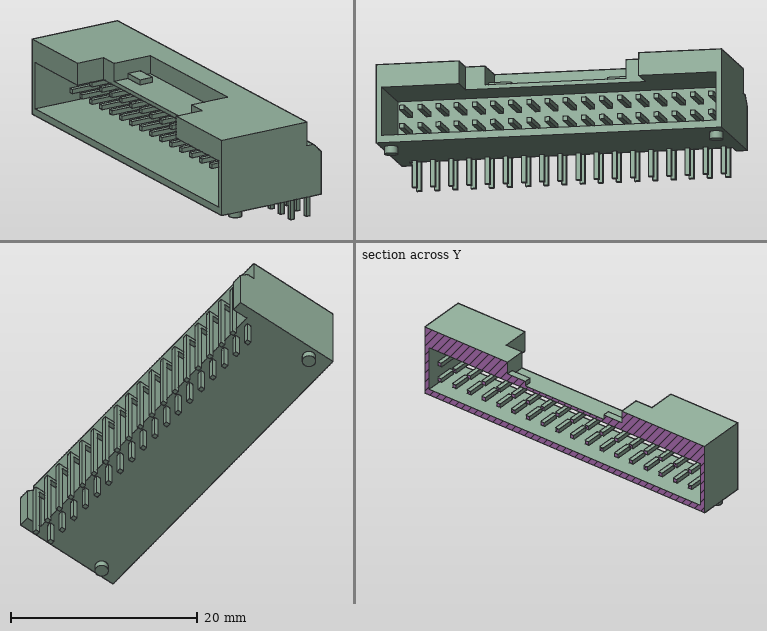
import cadquery as cq

width = 38
depth = 12.7
body_height = 8.6
overall_height = 11.5

ear_width = 1.2
ear_depth = 1.82
ear_height = 5.9
ear_chamfer = 1.0
body_depth = depth - ear_depth

side_wall = 0.6
floor_wall = 0.8
roof_wall = 2.5
cavity_depth = 7.9

notch_width = 19.8
notch_depth = 3.3
recess_width = 15.5
recess_depth = cavity_depth
recess_drop = 2.05

tab_length = 2.45
tab_width = 1.6
tab_height = 0.57
tab_front = 5.05

pin_count = 18
pin_span = 34.0
pin_pitch = pin_span / (pin_count - 1)
pin_size = 0.5
pin_tip = 3.7
lower_row_height = 2.55
rear_leg_inset = 0.57
rear_leg_center = depth - rear_leg_inset
leg_length = overall_height - body_height

peg_diameter = 1.45
peg_height = 0.8
peg_end_inset = 1.1
peg_front_inset = 2.45


def block(x_size, y_min, y_max, z_min, z_max, x_center=0):
    """Box given by its X width and its Y and Z limits."""
    return (
        cq.Workplane("XY")
        .box(x_size, y_max - y_min, z_max - z_min, centered=(True, False, False))
        .translate((x_center, y_min, z_min))
    )


def ear(side):
    """Rear ear with a chamfered upper rear edge."""
    center = side * (width - ear_width) / 2
    return (
        block(ear_width, body_depth, depth, 0, ear_height, center)
        .edges(">Y and >Z")
        .chamfer(ear_chamfer)
    )


def tab(side):
    """Tab reaching inward from the side of the recess."""
    floor = body_height - recess_drop
    center = side * (recess_width - tab_length) / 2
    return block(tab_length, tab_front, tab_front + tab_width, floor, floor + tab_height, center)


def peg(side):
    """Round peg below the housing."""
    return (
        cq.Workplane("XY")
        .center(side * (width / 2 - peg_end_inset), peg_front_inset)
        .circle(peg_diameter / 2)
        .extrude(-peg_height)
    )


def pin(x, row):
    """Right-angle contact; row 0 is the lower row and row 1 the upper row."""
    half = pin_size / 2
    height = lower_row_height + row * pin_pitch
    leg_center = rear_leg_center - (1 - row) * pin_pitch
    contact = block(pin_size, pin_tip, leg_center + half, height - half, height + half, x)
    leg = block(pin_size, leg_center - half, leg_center + half, -leg_length, height + half, x)
    return contact.union(leg)


result = block(width, 0, body_depth, 0, body_height)
result = result.cut(
    block(width - 2 * side_wall, 0, cavity_depth, floor_wall, body_height - roof_wall)
)
result = result.cut(block(notch_width, 0, notch_depth, body_height - roof_wall, body_height))
result = result.cut(
    block(recess_width, notch_depth, recess_depth, body_height - recess_drop, body_height)
)

for side in (-1, 1):
    result = result.union(ear(side)).union(tab(side)).union(peg(side))

for index in range(pin_count):
    pin_x = -pin_span / 2 + index * pin_pitch
    for row in (0, 1):
        result = result.union(pin(pin_x, row))